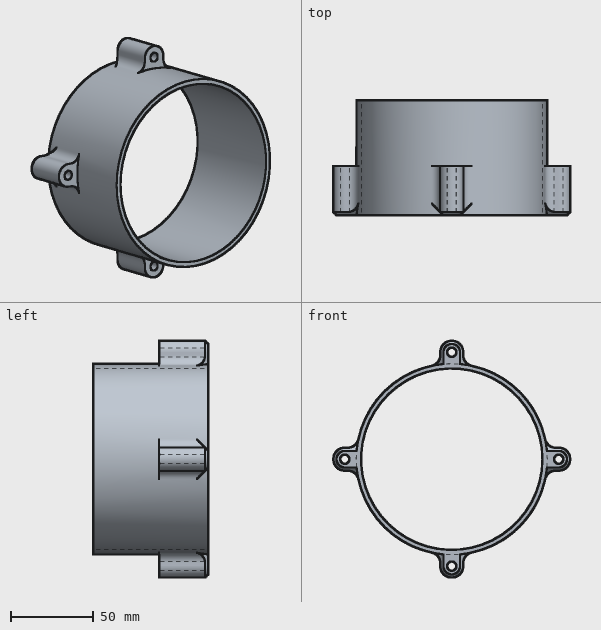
import cadquery as cq
import math

span = 144.0
tube_length = 70.0
tube_radius = 116.0 / 2
bore_radius = 110.0 / 2
lug_length = 30.0
lug_radius = 7.0
hole_diameter = 5.5
fillet_radius = 6.3
chamfer = 2.0
lug_count = 4

hole_offset = span / 2 - lug_radius
wall_middle = (tube_radius + bore_radius) / 2

fillet_x = lug_radius + fillet_radius
fillet_y = math.sqrt((tube_radius + fillet_radius) ** 2 - fillet_x ** 2)
touch_ratio = tube_radius / (tube_radius + fillet_radius)
root_x = fillet_x * touch_ratio
root_y = fillet_y * touch_ratio
fillet_mid_angle = (math.pi + math.atan2(root_y - fillet_y, root_x - fillet_x) % (2 * math.pi)) / 2
fillet_mid_x = fillet_x + fillet_radius * math.cos(fillet_mid_angle)
fillet_mid_y = fillet_y + fillet_radius * math.sin(fillet_mid_angle)


def lug_body():
    """Rounded lug with root fillets, its base buried in the tube wall."""
    base_scale = wall_middle / tube_radius
    base_x = root_x * base_scale
    base_y = root_y * base_scale
    return (
        cq.Workplane("XY")
        .moveTo(base_x, base_y)
        .lineTo(root_x, root_y)
        .threePointArc((fillet_mid_x, fillet_mid_y), (lug_radius, fillet_y))
        .lineTo(lug_radius, hole_offset)
        .threePointArc((0, span / 2), (-lug_radius, hole_offset))
        .lineTo(-lug_radius, fillet_y)
        .threePointArc((-fillet_mid_x, fillet_mid_y), (-root_x, root_y))
        .lineTo(-base_x, base_y)
        .threePointArc((0, wall_middle), (base_x, base_y))
        .close()
        .extrude(lug_length)
    )


def chamfer_envelope():
    """Space widening at 45 degrees behind the front face: a wedge ending in a cone."""
    front_half_width = lug_radius - chamfer
    back_half_width = front_half_width + lug_length
    wedge = (
        cq.Workplane("XZ")
        .polyline([
            (-front_half_width, 0),
            (front_half_width, 0),
            (back_half_width, lug_length),
            (-back_half_width, lug_length),
        ])
        .close()
        .extrude(-hole_offset)
    )
    cone = cq.Workplane(
        cq.Solid.makeCone(front_half_width, back_half_width, lug_length, pnt=cq.Vector(0, hole_offset, 0))
    )
    return wedge.union(cone)


def screw_lug():
    """Chamfered lug with its through hole."""
    hole = (
        cq.Workplane("XY")
        .center(0, hole_offset)
        .circle(hole_diameter / 2)
        .extrude(lug_length)
    )
    return lug_body().intersect(chamfer_envelope()).cut(hole)


body = cq.Workplane("XY").circle(tube_radius).circle(bore_radius).extrude(tube_length)
lug = screw_lug()
for index in range(lug_count):
    body = body.union(lug.rotate((0, 0, 0), (0, 0, 1), index * 360 / lug_count))

result = body.rotate((0, 0, 0), (1, 0, 0), -90)